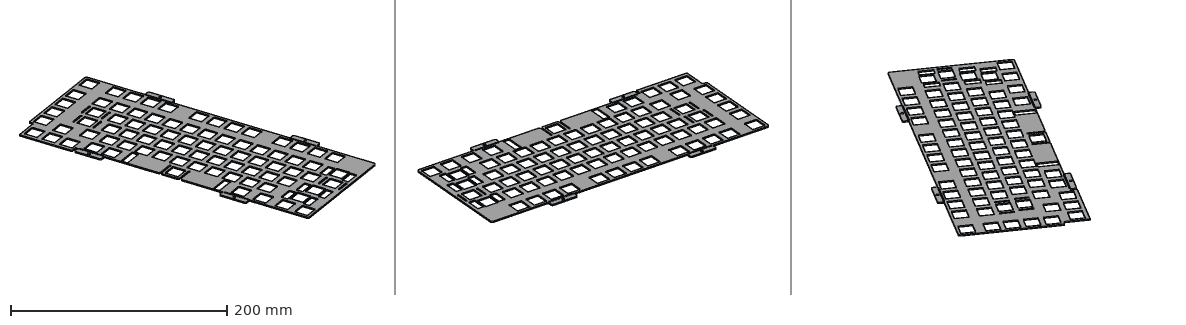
import cadquery as cq

THICKNESS = 1.5
OVERALL_WIDTH = 314.88
OVERALL_DEPTH = 131.61
CORNER_RADIUS = 2.0
SMALL_RADIUS = 0.5

UNIT = 19.05
FUNCTION_ROW_GAP = 0.25 * UNIT
GRID_WIDTH = 16.5 * UNIT
GRID_DEPTH = 6 * UNIT + FUNCTION_ROW_GAP
KEY_SIZE = 14.0
MARGIN = (OVERALL_WIDTH - GRID_WIDTH) / 2

RIGHT = OVERALL_WIDTH / 2
LEFT = -RIGHT
BACK = GRID_DEPTH / 2 + MARGIN
FRONT = -BACK
TAB_END = OVERALL_DEPTH / 2

SPACE_ROW = (UNIT - GRID_DEPTH) / 2
SHIFT_ROW = SPACE_ROW + UNIT
CAPS_ROW = SHIFT_ROW + UNIT
TAB_ROW = CAPS_ROW + UNIT
NUMBER_ROW = TAB_ROW + UNIT
FUNCTION_ROW = NUMBER_ROW + UNIT + FUNCTION_ROW_GAP
ARROW_ROW = SPACE_ROW - 0.25 * UNIT
UP_ARROW_ROW = ARROW_ROW + UNIT

TAB_KEY = 2.25
BACKSLASH_KEY = 15.75
CAPS_KEY = 2.375
BACKSPACE_KEY = 15.5
ENTER_KEY = 15.375
LEFT_SHIFT_KEY = 3.125
RIGHT_SHIFT_KEY = 15.125
SPACE_KEY = 8.625

ARROW_BLOCK_LEFT = LEFT + 0.25 * UNIT
ARROW_BLOCK_RIGHT = LEFT + 3.25 * UNIT
ARROW_BLOCK_SHOULDER = ARROW_ROW + 0.75 * UNIT

TAB_X = OVERALL_WIDTH / 4
TAB_WIDTH = 29.0
TAB_RADIUS = 1.5
TAB_HOLE_DIAMETER = 2.5
TAB_HOLE_INSET = 2.75
TAB_HOLE_Y = TAB_END - TAB_HOLE_INSET
TAB_SLIT_LENGTH = 26.5
TAB_SLIT_WIDTH = 1.0
TAB_SLIT_RADIUS = 0.4
TAB_SLIT_INSET = 0.3
TAB_SLIT_Y = BACK - TAB_SLIT_INSET

SLIT_WIDTH = 1.5
SLIT_OFFSET = 10.8
SPACE_SLIT_OFFSET = 10.4
SPACE_SLIT_REACH = 7.7
SPACE_SLIT_BACK = SPACE_ROW + SPACE_SLIT_REACH
SPACE_SLIT_OUTER_RADIUS = 2.5
SPACE_SLIT_INNER_RADIUS = 1.5

STABILIZER_WIDTH = 7.0
STABILIZER_LENGTH = 15.0
STABILIZER_OFFSET = 11.938
STABILIZER_SHIFT_Y = -1.5
SPACE_STABILIZER_LENGTH = 20.0
SPACE_STABILIZER_OFFSET = 50.0
SPACE_STABILIZER_SHIFT_Y = 0.9


def run(first, count):
    """Centres, in units, of neighbouring one-unit keys."""
    return [first + i for i in range(count)]


KEY_ROWS = [
    (FUNCTION_ROW, [0.5] + run(2, 4) + run(6.75, 4) + run(11.5, 4)),
    (NUMBER_ROW, [0.5] + run(2, 13) + [BACKSPACE_KEY]),
    (TAB_ROW, [0.5, TAB_KEY] + run(3.5, 12) + [BACKSLASH_KEY]),
    (CAPS_ROW, [0.5, CAPS_KEY] + run(3.75, 11) + [ENTER_KEY]),
    (SHIFT_ROW, [0.5, LEFT_SHIFT_KEY] + run(4.25, 10) + [RIGHT_SHIFT_KEY]),
    (UP_ARROW_ROW, [1.75]),
    (SPACE_ROW, run(4, 2) + [SPACE_KEY, 12.375, 13.625, 14.875, 16]),
    (ARROW_ROW, run(0.75, 3)),
]


def column_x(column):
    return column * UNIT - GRID_WIDTH / 2


def beside(column, y, offset):
    """The two points on either side of a key."""
    x = column_x(column)
    return [(x - offset, y), (x + offset, y)]


def at_all_tabs(y):
    """The points at distance y from the X axis on all four tabs."""
    return [(x, side * y) for x in (-TAB_X, TAB_X) for side in (-1, 1)]


def openings(points, width, length, radius=SMALL_RADIUS):
    """Rounded rectangular cutters centred on the points."""
    cutter = cq.Workplane("XY").box(width, length, THICKNESS).edges("|Z").fillet(radius).val()
    return [cutter.translate(cq.Vector(x, y, 0)) for x, y in points]


def round_corner(body, x, y, radius):
    nearest = cq.selectors.NearestToPointSelector((x, y, 0))
    return body.edges("|Z").edges(nearest).fillet(radius)


def main_plate():
    corners = [
        (LEFT, BACK),
        (RIGHT, BACK),
        (RIGHT, FRONT),
        (ARROW_BLOCK_RIGHT, FRONT),
        (ARROW_BLOCK_RIGHT, -TAB_END),
        (ARROW_BLOCK_LEFT, -TAB_END),
        (ARROW_BLOCK_LEFT, ARROW_BLOCK_SHOULDER),
        (LEFT, ARROW_BLOCK_SHOULDER),
    ]
    plate = cq.Workplane("XY").polyline(corners).close().extrude(THICKNESS / 2, both=True)
    for x, y in [(LEFT, BACK), (RIGHT, BACK), (RIGHT, FRONT), (ARROW_BLOCK_LEFT, ARROW_BLOCK_SHOULDER)]:
        plate = round_corner(plate, x, y, CORNER_RADIUS)
    return round_corner(plate, ARROW_BLOCK_RIGHT, -TAB_END, SMALL_RADIUS)


def cut_space_slits(plate):
    """Slits open to the front edge on both sides of the space-bar switch.

    The mouth corner away from the switch has the larger radius.
    """
    length = SPACE_SLIT_BACK - FRONT
    blank = cq.Workplane("XY").box(SLIT_WIDTH, length, THICKNESS).edges("|Z and >Y").fillet(SMALL_RADIUS)
    center_y = FRONT + length / 2
    for side in (-1, 1):
        x = column_x(SPACE_KEY) + side * SPACE_SLIT_OFFSET
        outward = side * SLIT_WIDTH / 2
        plate = plate.cut(blank.translate((x, center_y, 0)))
        plate = round_corner(plate, x + outward, FRONT, SPACE_SLIT_OUTER_RADIUS)
        plate = round_corner(plate, x - outward, FRONT, SPACE_SLIT_INNER_RADIUS)
    return plate


def mounting_tabs():
    """Two strips across the plate whose rounded ends stand out as the four tabs."""
    strip = cq.Workplane("XY").box(TAB_WIDTH, OVERALL_DEPTH, THICKNESS).edges("|Z").fillet(TAB_RADIUS)
    return strip.translate((-TAB_X, 0, 0)).union(strip.translate((TAB_X, 0, 0)))


def tab_cutters():
    hole = cq.Workplane("XY").circle(TAB_HOLE_DIAMETER / 2).extrude(THICKNESS / 2, both=True).val()
    holes = [hole.translate(cq.Vector(x, y, 0)) for x, y in at_all_tabs(TAB_HOLE_Y)]
    slits = openings(at_all_tabs(TAB_SLIT_Y), TAB_SLIT_LENGTH, TAB_SLIT_WIDTH, TAB_SLIT_RADIUS)
    return holes + slits


def key_cutters():
    points = [(column_x(column), y) for y, columns in KEY_ROWS for column in columns]
    return openings(points, KEY_SIZE, KEY_SIZE)


def slit_cutters():
    points = []
    for column, y in [(TAB_KEY, TAB_ROW), (BACKSLASH_KEY, TAB_ROW), (CAPS_KEY, CAPS_ROW)]:
        points += beside(column, y, SLIT_OFFSET)
    return openings(points, SLIT_WIDTH, KEY_SIZE)


def stabilizer_cutters():
    points = []
    for column, y in [(BACKSPACE_KEY, NUMBER_ROW), (ENTER_KEY, CAPS_ROW), (RIGHT_SHIFT_KEY, SHIFT_ROW)]:
        points += beside(column, y + STABILIZER_SHIFT_Y, STABILIZER_OFFSET)
    space_points = beside(SPACE_KEY, SPACE_ROW + SPACE_STABILIZER_SHIFT_Y, SPACE_STABILIZER_OFFSET)
    return openings(points, STABILIZER_WIDTH, STABILIZER_LENGTH) + openings(
        space_points, STABILIZER_WIDTH, SPACE_STABILIZER_LENGTH
    )


cutters = key_cutters() + slit_cutters() + stabilizer_cutters() + tab_cutters()
result = cut_space_slits(main_plate()).union(mounting_tabs())
result = result.cut(cq.Workplane(cq.Compound.makeCompound(cutters)))